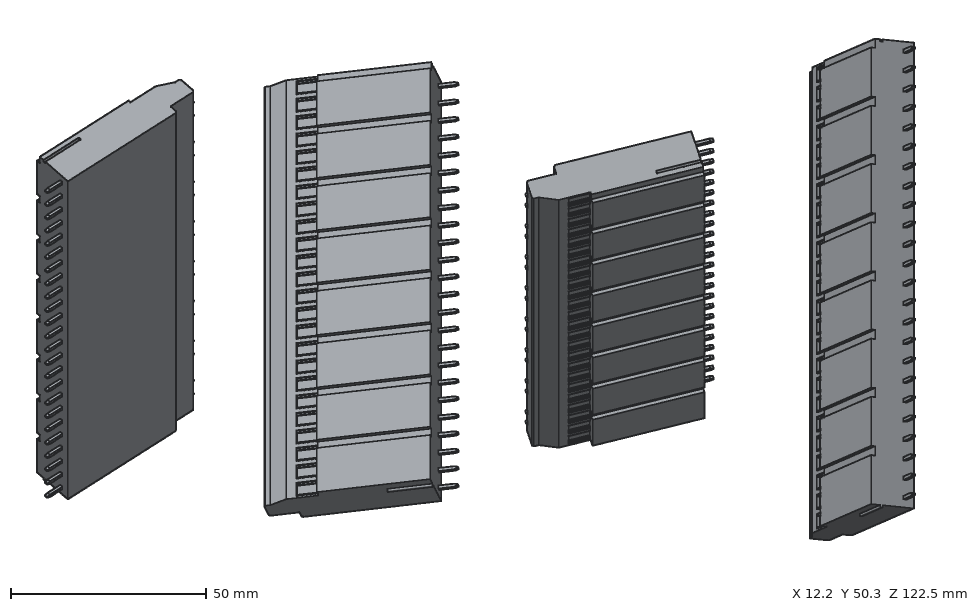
import cadquery as cq


PITCH = 5.08
PINS_PER_MODULE = 3
MODULES = 8
PIN_COUNT = PINS_PER_MODULE * MODULES
MODULE_HEIGHT = PINS_PER_MODULE * PITCH
HEIGHT = PIN_COUNT * PITCH

OVERALL_DEPTH = 50.3
PIN_LENGTH = 5.1
NUB_DEPTH = 0.5
DEPTH = OVERALL_DEPTH - PIN_LENGTH - NUB_DEPTH

WIDTH = 12.2
PAD_FLOOR_X = 1.1
PAD_DEPTH = 29.85
WALL_X = 1.85
SLOPE_START_Y = 38.3
SLOPE_END_Y = 43.0
NOSE_LEFT_X = 4.0
NOSE_RIGHT_X = 9.6
SHOULDER_Y = 36.7
CORNER_CHAMFER = 0.4

PAD_GAP = 2.4

WINDOW_LENGTH = 5.8
WINDOW_HEIGHT = 3.85
WINDOW_INNER_HEIGHT = 2.8
WINDOW_STEP = 0.4

PIN_X = 9.6
PIN_WIDTH = 0.9
PIN_TIP_HEIGHT = 0.3
PIN_TAPER_LENGTH = 0.9

NUB_X = 8.5
NUB_WIDTH = 0.8
NUB_BASE_HEIGHT = 1.2

TONGUE_X = 2.95
TONGUE_WIDTH = 0.8
TONGUE_LENGTH = 11.9
TONGUE_HEIGHT = 0.6
TONGUE_FILLET = 0.2


def box_between(x_range, y_range, z_range):
    """Axis-aligned box given its limits along X, Y and Z."""
    (x0, x1), (y0, y1), (z0, z1) = x_range, y_range, z_range
    return cq.Workplane("XY").box(x1 - x0, y1 - y0, z1 - z0, centered=False).translate((x0, y0, z0))


def contact_z(index):
    """Centre height of a contact, counted from the bottom."""
    return (index + 0.5) * PITCH


def make_housing():
    outline = [
        (PAD_FLOOR_X, 0),
        (WIDTH, 0),
        (WIDTH, SHOULDER_Y - CORNER_CHAMFER),
        (WIDTH - CORNER_CHAMFER, SHOULDER_Y),
        (NOSE_RIGHT_X, SHOULDER_Y),
        (NOSE_RIGHT_X, DEPTH - CORNER_CHAMFER),
        (NOSE_RIGHT_X - CORNER_CHAMFER, DEPTH),
        (NOSE_LEFT_X + CORNER_CHAMFER, DEPTH),
        (NOSE_LEFT_X, DEPTH - CORNER_CHAMFER),
        (NOSE_LEFT_X, SLOPE_END_Y),
        (WALL_X, SLOPE_START_Y),
        (WALL_X, PAD_DEPTH),
        (PAD_FLOOR_X, PAD_DEPTH),
    ]
    return cq.Workplane("XY").polyline(outline).close().extrude(HEIGHT)


def make_pad(module):
    bottom = module * MODULE_HEIGHT
    top = bottom + MODULE_HEIGHT - PAD_GAP
    return box_between((0, PAD_FLOOR_X), (0, PAD_DEPTH), (bottom, top))


def make_window(index):
    """Shallow window with a second, narrower step in its floor."""
    window = cq.Workplane("XY")
    for level, height in enumerate((WINDOW_HEIGHT, WINDOW_INNER_HEIGHT), start=1):
        z = contact_z(index)
        window = window.union(
            box_between(
                (WALL_X, WALL_X + level * WINDOW_STEP),
                (PAD_DEPTH, PAD_DEPTH + WINDOW_LENGTH),
                (z - height / 2, z + height / 2),
            )
        )
    return window


def make_pin(index):
    """Square pin whose end narrows in height to a blade."""
    half = PIN_WIDTH / 2
    half_tip = PIN_TIP_HEIGHT / 2
    taper_y = PIN_TAPER_LENGTH - PIN_LENGTH
    side = [
        (0, -half),
        (0, half),
        (taper_y, half),
        (-PIN_LENGTH, half_tip),
        (-PIN_LENGTH, -half_tip),
        (taper_y, -half),
    ]
    pin = cq.Workplane("YZ").polyline(side).close().extrude(PIN_WIDTH)
    return pin.translate((PIN_X - half, 0, contact_z(index)))


def make_nub(z):
    """Triangular ridge on the back face, its crest running along X."""
    half_base = NUB_BASE_HEIGHT / 2
    side = [
        (DEPTH, z - half_base),
        (DEPTH + NUB_DEPTH, z),
        (DEPTH, z + half_base),
    ]
    nub = cq.Workplane("YZ").polyline(side).close().extrude(NUB_WIDTH)
    return nub.translate((NUB_X - NUB_WIDTH / 2, 0, 0))


def make_tongue(top):
    """Bar along Y hanging below the given height, with its two long lower edges rounded."""
    half = TONGUE_WIDTH / 2
    bar = box_between(
        (TONGUE_X - half, TONGUE_X + half),
        (0, TONGUE_LENGTH),
        (top - TONGUE_HEIGHT, top),
    )
    return bar.faces("<Z").edges("|Y").fillet(TONGUE_FILLET)


result = make_housing()

for module in range(MODULES):
    result = result.union(make_pad(module))
    for step in range(1, PINS_PER_MODULE):
        result = result.union(make_nub(module * MODULE_HEIGHT + step * PITCH))

for contact in range(PIN_COUNT):
    result = result.cut(make_window(contact)).union(make_pin(contact))

result = result.union(make_tongue(0)).cut(make_tongue(HEIGHT))